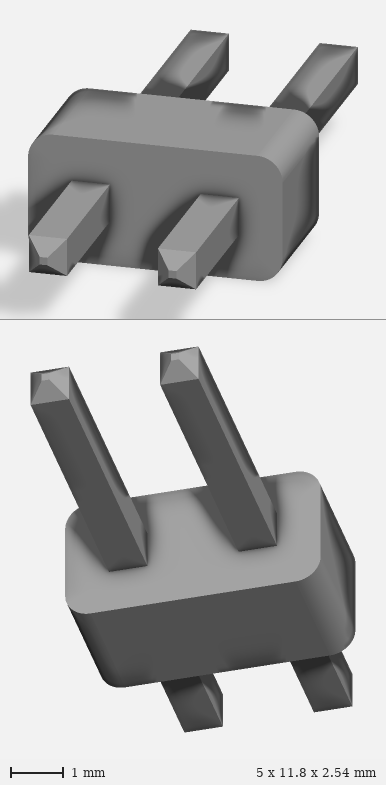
import cadquery as cq

housing_width = 5.0
housing_height = 2.54
housing_depth = 2.51
corner_radius = 0.49

pin_length = 11.75
pin_front_reach = 3.25
pin_pitch = 2.54
pin_side = 0.75
tip_length = 0.3
tip_flat_side = 0.15

pin_front_y = -housing_depth / 2 - pin_front_reach
pin_back_y = pin_front_y + pin_length


def make_housing():
    """Block centred on the origin, with its four edges along Y rounded."""
    block = cq.Workplane("XY").box(housing_width, housing_depth, housing_height)
    return block.edges("|Y").fillet(corner_radius)


def make_tip(x, end_y, direction):
    """Tapered tip ending at end_y; direction is +1 for +Y and -1 for -Y."""
    base_y = end_y - direction * tip_length
    base = cq.Plane(origin=(x, base_y, 0), xDir=(1, 0, 0), normal=(0, direction, 0))
    return (
        cq.Workplane(base)
        .rect(pin_side, pin_side)
        .workplane(offset=tip_length)
        .rect(tip_flat_side, tip_flat_side)
        .loft(ruled=True)
    )


def make_pin(x):
    """Square bar with a tapered tip at each end."""
    shank_length = pin_length - 2 * tip_length
    shank_center_y = (pin_front_y + pin_back_y) / 2
    shank = cq.Workplane("XY").box(pin_side, shank_length, pin_side)
    shank = shank.translate((x, shank_center_y, 0))
    front_tip = make_tip(x, pin_front_y, -1)
    back_tip = make_tip(x, pin_back_y, 1)
    return shank.union(front_tip).union(back_tip)


result = make_housing()
for side in (-1, 1):
    result = result.union(make_pin(side * pin_pitch / 2))